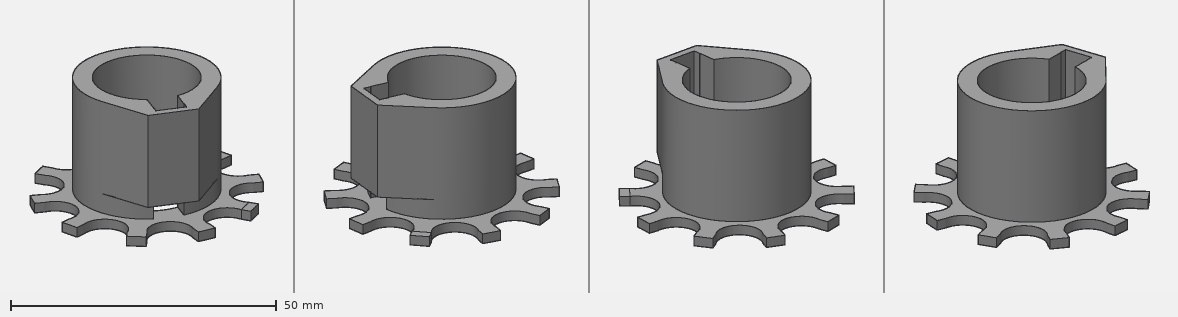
import cadquery as cq
import math

tooth_count = 10
tooth_pitch = 360 / tooth_count
first_tooth_angle = 13.4
tip_distance = 22.1
root_distance = 20.15
tooth_half_width = 3.75 / 2
gap_floor_radius = 15.65
wheel_thickness = 2.0
marked_tooth = 1

overall_height = 25.0
bore_diameter = 20.5
hub_radius = 28.02 / 2
boss_base_z = 6.0
boss_flat_x = 16.85
boss_flat_half_width = 5.0
keyway_end_x = 15.25
keyway_width = 6.05
keyway_outer_shift = 0.065


def polar_point(radius, angle, side_offset=0):
    """Point at a radius along a direction, shifted sideways (counterclockwise positive)."""
    a = math.radians(angle)
    return (
        radius * math.cos(a) - side_offset * math.sin(a),
        radius * math.sin(a) + side_offset * math.cos(a),
    )


def tooth_angle(index):
    return first_tooth_angle + index * tooth_pitch


def make_tooth_end(index):
    """Straight outer end of one tooth."""
    length = tip_distance - root_distance
    return (
        cq.Workplane("XY")
        .center(root_distance + length / 2, 0)
        .rect(length, 2 * tooth_half_width)
        .extrude(wheel_thickness)
        .rotate((0, 0, 0), (0, 0, 1), tooth_angle(index))
    )


def make_wheel():
    """Flat wheel with rounded gaps, without the end of the marked tooth."""
    outline = cq.Workplane("XY").moveTo(*polar_point(root_distance, tooth_angle(0), -tooth_half_width))
    for index in range(tooth_count):
        angle = tooth_angle(index)
        next_angle = tooth_angle(index + 1)
        if index != marked_tooth:
            outline = outline.lineTo(*polar_point(tip_distance, angle, -tooth_half_width))
            outline = outline.lineTo(*polar_point(tip_distance, angle, tooth_half_width))
        outline = outline.lineTo(*polar_point(root_distance, angle, tooth_half_width))
        outline = outline.threePointArc(
            polar_point(gap_floor_radius, angle + tooth_pitch / 2),
            polar_point(root_distance, next_angle, -tooth_half_width),
        )
    bore = cq.Workplane("XY").circle(bore_diameter / 2).extrude(wheel_thickness)
    return outline.close().extrude(wheel_thickness).cut(bore)


def make_boss():
    """Block whose sides run tangent from the hub to a flat on +X."""
    corner_distance = math.hypot(boss_flat_x, boss_flat_half_width)
    corner_angle = math.atan2(boss_flat_half_width, boss_flat_x)
    tangent_angle = math.degrees(corner_angle + math.acos(hub_radius / corner_distance))
    return (
        cq.Workplane("XY")
        .workplane(offset=boss_base_z)
        .moveTo(*polar_point(hub_radius, -tangent_angle))
        .lineTo(boss_flat_x, -boss_flat_half_width)
        .lineTo(boss_flat_x, boss_flat_half_width)
        .lineTo(*polar_point(hub_radius, tangent_angle))
        .lineTo(0, 0)
        .close()
        .extrude(overall_height - boss_base_z)
    )


def make_keyway():
    """Keyway through the tube wall and on into the boss, with a slight sideways step between them."""
    base = cq.Workplane("XY").workplane(offset=wheel_thickness)
    hub_height = overall_height - wheel_thickness
    step_x = math.sqrt(hub_radius**2 - (keyway_width / 2) ** 2)
    outer_length = keyway_end_x - step_x
    inner = base.center(step_x / 2, 0).rect(step_x, keyway_width).extrude(hub_height)
    outer = (
        base.center(step_x + outer_length / 2, keyway_outer_shift)
        .rect(outer_length, keyway_width)
        .extrude(hub_height)
    )
    return inner.union(outer)


def make_hub():
    """Tube on the wheel, with a boss on +X and a keyway open to the bore."""
    base = cq.Workplane("XY").workplane(offset=wheel_thickness)
    hub_height = overall_height - wheel_thickness
    tube = base.circle(hub_radius).extrude(hub_height)
    bore = base.circle(bore_diameter / 2).extrude(hub_height)
    return tube.union(make_boss()).cut(bore).cut(make_keyway())


wheel = make_wheel()
tooth_end = make_tooth_end(marked_tooth)
hub = make_hub()

result = cq.Compound.makeCompound([wheel.val(), tooth_end.val(), hub.val()])